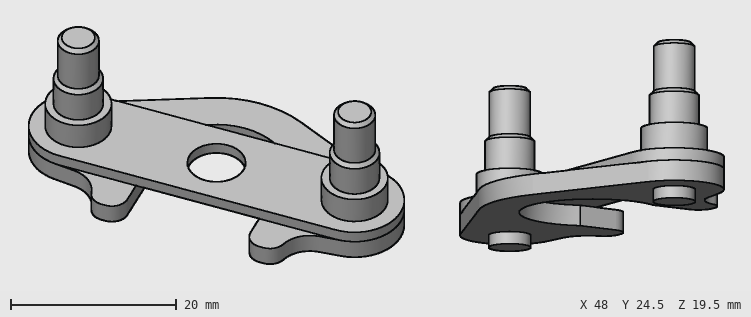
import cadquery as cq
import math

OVERALL_LENGTH = 48.0
END_RADIUS = 6.0
PIN_X = OVERALL_LENGTH / 2 - END_RADIUS

LOWER_THICKNESS = 2.5
UPPER_THICKNESS = 1.5
PLATE_TOP = LOWER_THICKNESS + UPPER_THICKNESS
CENTER_HOLE_DIAMETER = 7.0

ARCH_RADIUS = 13.75
WINDOW_RADIUS = 8.8
FOOT_INNER_X = 8.0
FOOT_END_Y = -10.75
FOOT_CORNER_RADIUS = 2.0
FOOT_BLEND_RADIUS = 4.0
FLANK_ANGLE = math.radians(6.5)
FLANK_LENGTH = 2.8

STEM_DIAMETER = 5.1
STEM_PROTRUSION = 1.5
SHOULDER_DIAMETER = 8.0
SHOULDER_HEIGHT = 3.5
COLLAR_DIAMETER = 6.0
COLLAR_HEIGHT = 4.5
TIP_DIAMETER = 5.0
TIP_HEIGHT = 6.0
PIN_CHAMFER = (COLLAR_DIAMETER - TIP_DIAMETER) / 2


def polar(center, radius, angle):
    """Point at an angle (radians) on a circle."""
    return (center[0] + radius * math.cos(angle), center[1] + radius * math.sin(angle))


def right_half_blank():
    """Right half of the lower plate, before the window and the pin holes are cut."""
    origin = (0, 0)
    pin_center = (PIN_X, 0)

    back_angle = math.acos((ARCH_RADIUS - END_RADIUS) / PIN_X)
    arch_end = polar(origin, ARCH_RADIUS, back_angle)
    arch_middle = polar(origin, ARCH_RADIUS, (back_angle + math.pi / 2) / 2)
    end_start = polar(pin_center, END_RADIUS, back_angle)

    flank_normal = FLANK_ANGLE - math.pi / 2
    end_middle = polar(pin_center, END_RADIUS, (back_angle + flank_normal) / 2)
    flank_outer = polar(pin_center, END_RADIUS, flank_normal)
    flank_inner = polar(flank_outer, FLANK_LENGTH, FLANK_ANGLE + math.pi)

    blend_center = polar(flank_inner, FOOT_BLEND_RADIUS, flank_normal)
    corner_y = FOOT_END_Y + FOOT_CORNER_RADIUS
    center_distance = FOOT_BLEND_RADIUS + FOOT_CORNER_RADIUS
    tangent_angle = math.asin((blend_center[1] - corner_y) / center_distance)
    corner_center = (blend_center[0] - center_distance * math.cos(tangent_angle), corner_y)
    blend_end = polar(corner_center, FOOT_CORNER_RADIUS, tangent_angle)
    blend_middle_angle = (flank_normal + math.pi + tangent_angle + math.pi) / 2
    blend_middle = polar(blend_center, FOOT_BLEND_RADIUS, blend_middle_angle)
    corner_middle = polar(corner_center, FOOT_CORNER_RADIUS, (tangent_angle - math.pi / 2) / 2)

    inner_center = (FOOT_INNER_X + FOOT_CORNER_RADIUS, corner_y)
    inner_middle = polar(inner_center, FOOT_CORNER_RADIUS, math.radians(225))

    return (
        cq.Workplane("XY")
        .moveTo(0, 0)
        .lineTo(0, ARCH_RADIUS)
        .threePointArc(arch_middle, arch_end)
        .lineTo(*end_start)
        .threePointArc(end_middle, flank_outer)
        .lineTo(*flank_inner)
        .threePointArc(blend_middle, blend_end)
        .threePointArc(corner_middle, (corner_center[0], FOOT_END_Y))
        .lineTo(inner_center[0], FOOT_END_Y)
        .threePointArc(inner_middle, (FOOT_INNER_X, corner_y))
        .lineTo(FOOT_INNER_X, 0)
        .close()
        .extrude(LOWER_THICKNESS)
    )


def cut_pin_holes(plate):
    """Cut the two holes that receive the pin stems."""
    return (
        plate.faces(">Z").workplane(origin=(0, 0, 0))
        .pushPoints([(-PIN_X, 0), (PIN_X, 0)])
        .hole(STEM_DIAMETER)
    )


def make_lower_plate():
    """Arched plate with a round window that opens between the two feet."""
    right_half = right_half_blank()
    blank = right_half.union(right_half.mirror("YZ"))
    window = cq.Workplane("XY").circle(WINDOW_RADIUS).extrude(LOWER_THICKNESS)
    return cut_pin_holes(blank.cut(window))


def make_upper_plate():
    """Straight link with round ends and a central hole."""
    link = (
        cq.Workplane("XY", origin=(0, 0, LOWER_THICKNESS))
        .slot2D(OVERALL_LENGTH, 2 * END_RADIUS)
        .extrude(UPPER_THICKNESS)
        .faces(">Z").workplane(origin=(0, 0, 0))
        .hole(CENTER_HOLE_DIAMETER)
    )
    return cut_pin_holes(link)


def make_pin(x):
    """Stepped pin whose shoulder rests on the upper plate."""
    shoulder_top = PLATE_TOP + SHOULDER_HEIGHT
    collar_top = shoulder_top + COLLAR_HEIGHT
    stem = (
        cq.Workplane("XY", origin=(x, 0, -STEM_PROTRUSION))
        .circle(STEM_DIAMETER / 2)
        .extrude(STEM_PROTRUSION + PLATE_TOP)
    )
    shoulder = (
        cq.Workplane("XY", origin=(x, 0, PLATE_TOP))
        .circle(SHOULDER_DIAMETER / 2)
        .extrude(SHOULDER_HEIGHT)
    )
    collar = (
        cq.Workplane("XY", origin=(x, 0, shoulder_top))
        .circle(COLLAR_DIAMETER / 2)
        .extrude(COLLAR_HEIGHT)
        .faces(">Z").chamfer(PIN_CHAMFER)
    )
    tip = (
        cq.Workplane("XY", origin=(x, 0, collar_top))
        .circle(TIP_DIAMETER / 2)
        .extrude(TIP_HEIGHT)
        .faces(">Z").chamfer(PIN_CHAMFER)
    )
    return stem.union(shoulder).union(collar).union(tip)


lower_plate = make_lower_plate()
upper_plate = make_upper_plate()
pins = [make_pin(x) for x in (-PIN_X, PIN_X)]

result = cq.Compound.makeCompound(
    [lower_plate.solids().val(), upper_plate.solids().val(), *[pin.solids().val() for pin in pins]]
)